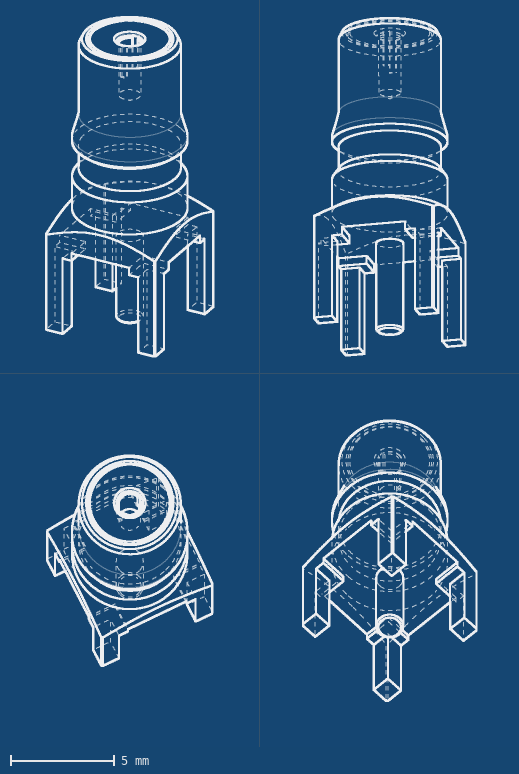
import cadquery as cq
import math

base_width = 6.0
corner_chamfer = 0.06
leg_gap = 4.13
leg_gap_top = 4.1
slot_width = 3.16
slot_top = 4.5
shoulder_angle = 30

total_height = 15.2
barrel_radius = 2.48
collar_radius = 2.8
collar_bottom = 6.0
collar_edge = 7.75
neck_bottom = 8.2
neck_top = 9.41
bead_bottom = 9.65
bead_top = 9.95
bead_cone_top = 11.13
tip_radius = 2.31
tip_chamfer_height = 0.33

groove_outer = 2.11
groove_middle = 2.02
groove_inner = 1.93
groove_depth = 0.09

mouth_radius = 0.76
mouth_chamfer = 0.08
contact_radius = 0.64
contact_bore_radius = 0.53
contact_chamfer = 0.08
contact_recess = 0.15
socket_depth = 3.04
slot_depth = 1.82
contact_slot_width = 0.32
drill_angle = 30
drill_cone_depth = contact_bore_radius * math.tan(math.radians(drill_angle))

pin_radius = 0.65
pin_chamfer = 0.1


def revolve_profile(points):
    """Turn a closed (radius, height) outline about the Z axis."""
    return cq.Workplane("XZ").polyline(points).close().revolve(360, (0, 0), (0, 1))


def make_base():
    """Square block with a conical shoulder, cross-slotted into four legs."""
    block = cq.Workplane("XY").rect(base_width, base_width).extrude(collar_bottom)
    block = block.edges("|Z").chamfer(corner_chamfer)

    cone_rise = math.tan(math.radians(shoulder_angle))
    cone_radius = base_width
    cone_edge = collar_bottom - (cone_radius - collar_radius) * cone_rise
    envelope = revolve_profile([
        (0, 0),
        (cone_radius, 0),
        (cone_radius, cone_edge),
        (collar_radius, collar_bottom),
        (0, collar_bottom),
    ])
    base = block.intersect(envelope)

    for runs_along_x in (True, False):
        for width, top in ((leg_gap, leg_gap_top), (slot_width, slot_top)):
            channel_x = base_width if runs_along_x else width
            channel_y = width if runs_along_x else base_width
            base = base.cut(cq.Workplane("XY").rect(channel_x, channel_y).extrude(top))
    return base


def make_barrel():
    """Turned barrel with collar, neck, snap bead and the groove in its end face."""
    return revolve_profile([
        (0, slot_top),
        (slot_width / 2, slot_top),
        (collar_radius, collar_bottom),
        (collar_radius, collar_edge),
        (barrel_radius, neck_bottom),
        (barrel_radius, neck_top),
        (collar_radius, bead_bottom),
        (collar_radius, bead_top),
        (barrel_radius, bead_cone_top),
        (barrel_radius, total_height - tip_chamfer_height),
        (tip_radius, total_height),
        (groove_outer, total_height),
        (groove_middle, total_height - groove_depth),
        (groove_inner, total_height),
        (0, total_height),
    ])


def make_socket():
    """Cavity of the recessed, chamfered contact with a conical bore end."""
    contact_top = total_height - contact_recess
    bore_bottom = total_height - socket_depth
    bore = revolve_profile([
        (0, bore_bottom - drill_cone_depth),
        (contact_bore_radius, bore_bottom),
        (contact_bore_radius, contact_top - contact_chamfer),
        (contact_bore_radius + contact_chamfer, contact_top),
        (contact_radius, contact_top),
        (mouth_radius - mouth_chamfer, total_height - mouth_chamfer),
        (mouth_radius, total_height),
        (0, total_height),
    ])
    slot = (
        cq.Workplane("XY", origin=(0, 0, total_height - slot_depth))
        .rect(contact_slot_width, 2 * contact_radius)
        .extrude(slot_depth)
    )
    return bore.union(slot)


def make_pin():
    """Round pin with a chamfered lower end."""
    return cq.Workplane("XY").circle(pin_radius).extrude(slot_top).faces("<Z").chamfer(pin_chamfer)


result = make_base().union(make_barrel()).union(make_pin()).cut(make_socket())